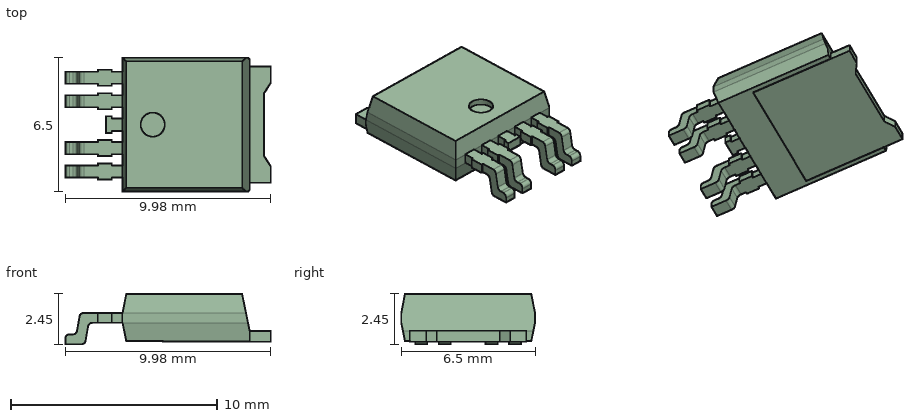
import cadquery as cq
import math


total_length = 9.98
body_width = 6.5
total_height = 2.45

body_left = 2.77
body_top_right = 8.58
body_right = 8.95
body_bottom = 0.15
taper_inset = 0.18

lead_top = 1.53
lead_thickness = 0.49
lead_bottom = lead_top - lead_thickness
lead_pitch = 1.14
lead_positions = (-2, -1, 1, 2)
lead_width = 0.6
wide_width = 0.79
wide_start = 1.58
wide_end = 2.26
foot_heel_x = 0.96
shank_top_x = 0.72
shank_angle = math.radians(10)
bend_radius = 0.2
lead_embed = 0.5
lead_end = body_left + lead_embed

stub_start = 1.97
stub_width = 0.62
stub_wide_width = 0.82

tab_left = 4.73
tab_width = 5.66
tab_bottom = 0.12
tab_top = 0.65
notch_depth = 0.33
notch_floor_width = 3.05
notch_mouth_width = 4.07

marker_x = 4.24
marker_diameter = 1.17
marker_depth = 0.3


def block(x_start, x_end, width, z_bottom, z_top):
    """Box between two X and two Z positions, centred on Y = 0."""
    return (
        cq.Workplane("XY", origin=(x_start, 0, z_bottom))
        .box(x_end - x_start, width, z_top - z_bottom, centered=(False, True, False))
    )


def make_body():
    """Tapered body: the side profile intersected with the end profile."""
    side = (
        cq.Workplane("XZ")
        .polyline([
            (body_left + taper_inset, total_height),
            (body_top_right, total_height),
            (body_right, tab_top),
            (body_right, body_bottom),
            (body_left + taper_inset, body_bottom),
            (body_left, lead_bottom),
            (body_left, lead_top),
        ])
        .close()
        .extrude(body_width / 2, both=True)
    )
    half_width = body_width / 2
    half_width_end = half_width - taper_inset
    end = (
        cq.Workplane("YZ")
        .polyline([
            (-half_width_end, total_height),
            (half_width_end, total_height),
            (half_width, lead_top),
            (half_width, lead_bottom),
            (half_width_end, body_bottom),
            (-half_width_end, body_bottom),
            (-half_width, lead_bottom),
            (-half_width, lead_top),
        ])
        .close()
        .extrude(total_length)
    )
    return side.intersect(end)


def make_lead(y_center):
    """Gull-wing lead with a rounded toe, rounded bends and a wider shoulder."""
    slope = math.tan(shank_angle)
    foot_top_x = shank_top_x - (lead_top - lead_thickness) * slope
    shank_bottom_x = foot_heel_x + lead_bottom * slope
    profile = (
        cq.Workplane("XZ")
        .polyline([
            (0, 0),
            (foot_heel_x, 0),
            (shank_bottom_x, lead_bottom),
            (lead_end, lead_bottom),
            (lead_end, lead_top),
            (shank_top_x, lead_top),
            (foot_top_x, lead_thickness),
            (0, lead_thickness),
        ])
        .close()
        .extrude(lead_width / 2, both=True)
    )
    sharp_edges = profile.edges("|Y").edges(">X").vals() + profile.faces("<X").edges("<Z").vals()
    rounded_edges = [
        edge for edge in profile.edges("|Y").vals()
        if not any(edge.isSame(sharp) for sharp in sharp_edges)
    ]
    lead = profile.newObject(rounded_edges).fillet(bend_radius)
    shoulder = block(wide_start, wide_end, wide_width, lead_bottom, lead_top)
    return lead.union(shoulder).translate((0, y_center, 0))


def make_stub_lead():
    """Cut-off centre lead: a narrow neck ending in a wider head."""
    neck = block(stub_start, lead_end, stub_width, lead_bottom, lead_top)
    head = block(stub_start, wide_end, stub_wide_width, lead_bottom, lead_top)
    return neck.union(head)


def make_tab():
    """Heat-sink plate with a flared notch in its outer end."""
    plate = block(tab_left, total_length, tab_width, tab_bottom, tab_top)
    notch = (
        cq.Workplane("XY", origin=(0, 0, tab_bottom))
        .polyline([
            (total_length, -notch_mouth_width / 2),
            (total_length, notch_mouth_width / 2),
            (total_length - notch_depth, notch_floor_width / 2),
            (total_length - notch_depth, -notch_floor_width / 2),
        ])
        .close()
        .extrude(tab_top - tab_bottom)
    )
    return plate.cut(notch)


def make_marker():
    """Cylinder that is removed to leave the round pin marker recess."""
    return (
        cq.Workplane("XY", origin=(marker_x, 0, total_height - marker_depth))
        .circle(marker_diameter / 2)
        .extrude(marker_depth)
    )


result = make_body().union(make_tab()).union(make_stub_lead())
for position in lead_positions:
    result = result.union(make_lead(position * lead_pitch))
result = result.cut(make_marker())